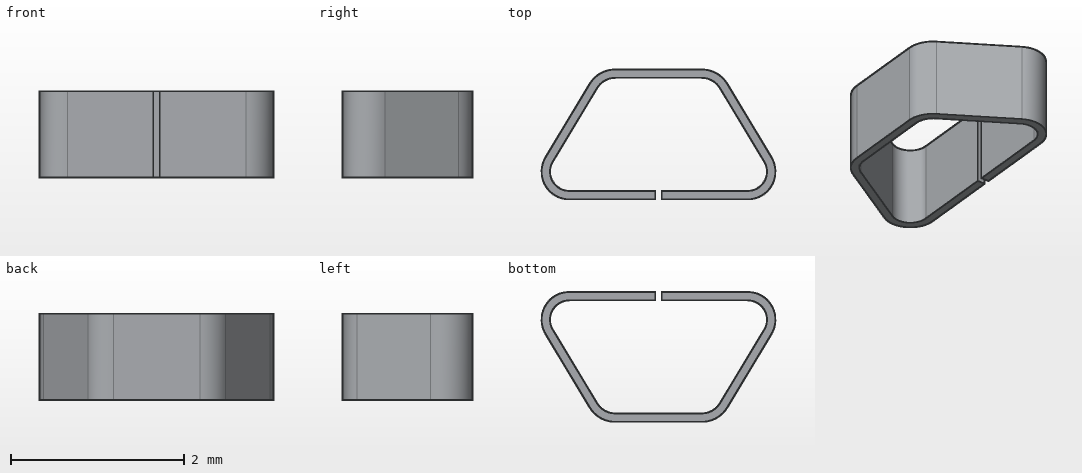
import cadquery as cq
import math

length = 2.7
depth = 1.5
height = 1.0

wall = 0.1
gap = 0.07
front_radius = 0.32
back_radius = 0.343
back_flat_length = 1.0

front_center = (length / 2 - front_radius, front_radius)
back_center = (back_flat_length / 2, depth - back_radius)

center_run = front_center[0] - back_center[0]
center_rise = back_center[1] - front_center[1]
center_distance = math.hypot(center_run, center_rise)
side_angle = math.atan2(center_run, center_rise) - math.asin((back_radius - front_radius) / center_distance)


def arc_point(center, radius, angle):
    """Point on a corner arc, with the angle measured from +X."""
    return (center[0] + radius * math.cos(angle), center[1] + radius * math.sin(angle))


def rounded_trapezoid(inset):
    """Solid trapezoid with tangent corner arcs, inset from the outer face."""
    front = front_radius - inset
    back = back_radius - inset
    right_half = (
        cq.Workplane("XY")
        .moveTo(0, inset)
        .lineTo(front_center[0], inset)
        .threePointArc(
            arc_point(front_center, front, -math.pi / 4),
            arc_point(front_center, front, 0),
        )
        .threePointArc(
            arc_point(front_center, front, side_angle / 2),
            arc_point(front_center, front, side_angle),
        )
        .lineTo(*arc_point(back_center, back, side_angle))
        .threePointArc(
            arc_point(back_center, back, (side_angle + math.pi / 2) / 2),
            arc_point(back_center, back, math.pi / 2),
        )
        .lineTo(0, depth - inset)
    )
    return right_half.mirrorY().extrude(height)


ring = rounded_trapezoid(0).cut(rounded_trapezoid(wall))

slit = cq.Workplane("XY").box(gap, depth, height, centered=(True, True, False))

result = ring.cut(slit)